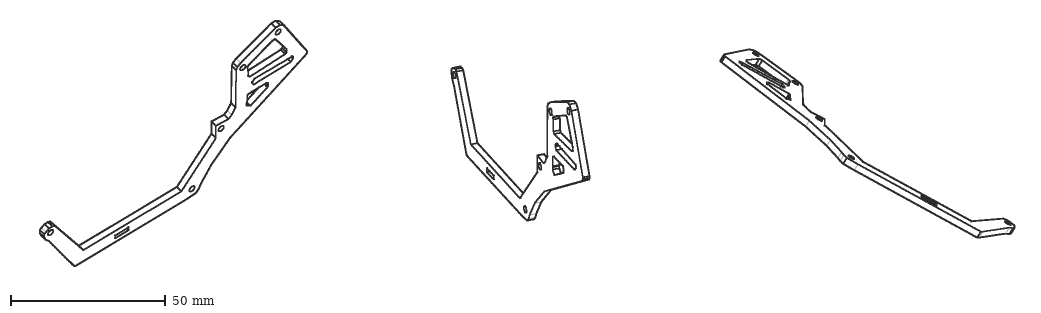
import cadquery as cq


thickness = 2.39
plate_length = 109.03
plate_height = 58.89
rear = plate_length / 2
front = -rear
top = plate_height / 2
bottom = -top

hole_diameter = 2.2
screw_holes = [(42.45, 26.57), (27.8, 19.5), (18.84, -4.5), (6.7, -25.8), (-51.92, -4.45)]

head_bottom_corner = [(54.05, 6.7), (rear, 7.5), (54.45, 8.15)]
head_rear_corner = [(45.0, 27.95), (43.3, top), (41.45, top)]
head_front_corner = [(26.9, 22.5), (25.55, 21.4), (25.04, 20.2)]
throat = [(24.78, 1.8), (23.2, -0.82), (21.9, -1.95)]
lug = [(16.66, -1.5), (16.66, -7.66)]
rail_top = [(2.3, -23.82), (-38.35, -23.29)]
arm_end = [
    (-50.2, -2.35),
    (-51.15, -1.95),
    (-52.5, -2.0),
    (-53.8, -2.85),
    (front, -3.45),
    (front, -5.0),
    (-53.9, -6.74),
    (-52.3, -8.75),
]
rail_bottom = [(-42.38, -28.15), (-41.8, -28.95), (4.4, bottom)]
heel = [(8.4, -29.15), (9.65, -27.75), (10.5, -25.95)]
neck_underside = [(14.74, -19.7), (22.6, -11.84)]

plate_outline = (
    head_bottom_corner
    + head_rear_corner
    + head_front_corner
    + throat
    + lug
    + rail_top
    + arm_end
    + rail_bottom
    + heel
    + neck_underside
)

large_window = (
    [(41.2, 23.85), (40.1, 23.92)]
    + [(30.45, 19.05), (29.6, 18.3), (29.9, 17.7)]
    + [(30.1, 13.45), (30.65, 12.77)]
    + [(45.35, 13.34), (45.95, 13.75), (45.95, 15.3)]
)

head_slot = (
    [(47.7, 7.68), (48.65, 8.8), (48.7, 9.5), (48.3, 9.95)]
    + [(32.7, 10.4), (31.7, 9.35), (31.7, 8.75), (32.3, 7.68)]
)

triangular_window = (
    [(38.0, 2.12), (38.35, 2.55), (38.35, 3.9), (37.7, 4.49)]
    + [(30.1, 4.49), (29.72, 4.1)]
    + [(29.65, 0.6), (29.4, 0.1), (29.4, -0.75), (30.9, -2.05)]
)

rail_slot_center = (-22.37, -26.48)
rail_slot_length = 5.66
rail_slot_height = 1.42


def plate_plane():
    """Sketch plane on the plate's -X face, with local axes along Y and Z."""
    return cq.Workplane("YZ", origin=(-thickness / 2, 0, 0))


def prism(corners):
    """Straight-sided body as thick as the plate."""
    return plate_plane().polyline(corners).close().extrude(thickness)


def rail_slot():
    sketch = plate_plane().center(*rail_slot_center)
    return sketch.rect(rail_slot_length, rail_slot_height).extrude(thickness)


def screw_hole_cutters():
    return plate_plane().pushPoints(screw_holes).circle(hole_diameter / 2).extrude(thickness)


plate = prism(plate_outline)
for opening in (large_window, head_slot, triangular_window):
    plate = plate.cut(prism(opening))

result = plate.cut(rail_slot()).cut(screw_hole_cutters())